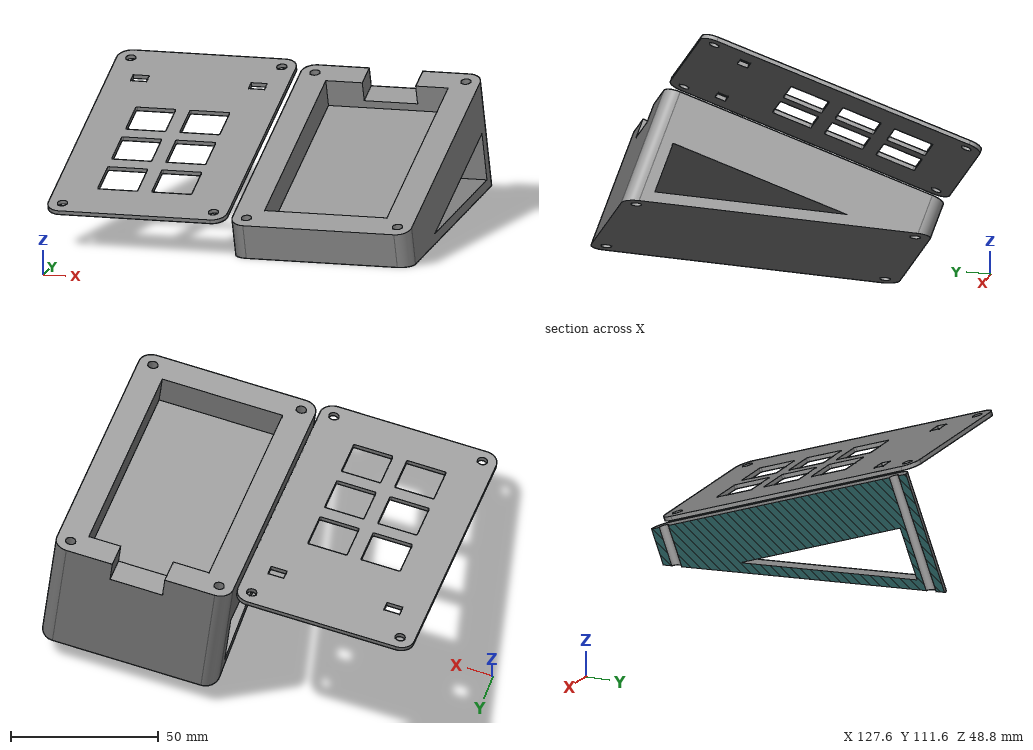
import cadquery as cq
import math


TILT_ANGLE = 20.0
OVERALL_WIDTH = 127.6
WIDTH = 63.0
LENGTH = 102.6
CORNER_RADIUS = 5.0
SCREW_DIAMETER = 3.5
SCREW_INSET = CORNER_RADIUS

PLATE_THICKNESS = 1.5
KEY_SIZE = 14.0
KEY_CORNER_RADIUS = 0.5
KEY_PITCH = 19.0
KEY_COLUMNS = 2
KEY_ROWS = 3
KEYS_LEFT = 14.7
KEYS_FRONT = 15.2
LIGHT_WIDTH = 5.6
LIGHT_LENGTH = 3.7
LEFT_LIGHT_CORNER = (8.5, 83.5)
RIGHT_LIGHT_CORNER = (50.2, 83.0)

CASE_LEFT = OVERALL_WIDTH - WIDTH
FRONT_DEPTH = 13.1
BACK_DEPTH = 43.0
POCKET_WIDTH = 43.0
POCKET_FRONT = 10.2
POCKET_BACK_WALL = 9.6
POCKET_DEPTH = 10.0
NOTCH_LEFT = 22.8
NOTCH_WIDTH = 18.8
NOTCH_DEPTH = 7.1
WINDOW_BACK_WALL = 8.9
WINDOW_ROOF = 18.0
WINDOW_SILL = 3.7


def box(x, y, z, width, length, height):
    """A box given by its left, front, lower corner and its size."""
    return cq.Workplane("XY").box(width, length, height, centered=False).translate((x, y, z))


def rounded_block(bottom, height):
    """The common outline with rounded upright corners."""
    block = box(0, 0, bottom, WIDTH, LENGTH, height)
    return block.edges("|Z").fillet(CORNER_RADIUS)


def screw_holes(bottom, height):
    """Four screw holes, concentric with the rounded corners."""
    return (
        cq.Workplane("XY", origin=(WIDTH / 2, LENGTH / 2, bottom))
        .rect(WIDTH - 2 * SCREW_INSET, LENGTH - 2 * SCREW_INSET, forConstruction=True)
        .vertices()
        .circle(SCREW_DIAMETER / 2)
        .extrude(height)
    )


def side_prism(points):
    """A (Y, Z) profile extruded across the full width."""
    return cq.Workplane("YZ").polyline(points).close().extrude(WIDTH)


def make_plate():
    """Flat cover with a grid of key openings and two small light openings."""
    plate = rounded_block(0, PLATE_THICKNESS).cut(screw_holes(0, PLATE_THICKNESS))
    for column in range(KEY_COLUMNS):
        for row in range(KEY_ROWS):
            x = KEYS_LEFT + column * KEY_PITCH
            y = KEYS_FRONT + row * KEY_PITCH
            opening = box(x, y, 0, KEY_SIZE, KEY_SIZE, PLATE_THICKNESS)
            plate = plate.cut(opening.edges("|Z").fillet(KEY_CORNER_RADIUS))
    for x, y in (LEFT_LIGHT_CORNER, RIGHT_LIGHT_CORNER):
        plate = plate.cut(box(x, y, 0, LIGHT_WIDTH, LIGHT_LENGTH, PLATE_THICKNESS))
    return plate


def make_wedge():
    """The case outline, cut off below by the sloping base."""
    profile = [(0, 0), (LENGTH, 0), (LENGTH, -BACK_DEPTH), (0, -FRONT_DEPTH)]
    return rounded_block(-BACK_DEPTH, BACK_DEPTH).intersect(side_prism(profile))


def make_side_window():
    """Triangular opening with its roof parallel to the top and its sill parallel to the base."""
    base_slope = (BACK_DEPTH - FRONT_DEPTH) / LENGTH
    sill_rise = WINDOW_SILL * math.hypot(1, base_slope)
    sill_start = sill_rise - FRONT_DEPTH
    back = LENGTH - WINDOW_BACK_WALL
    tip = (sill_start + WINDOW_ROOF) / base_slope
    return side_prism([(tip, -WINDOW_ROOF), (back, -WINDOW_ROOF), (back, sill_start - base_slope * back)])


def make_case():
    """Wedge with an open pocket, a cable notch in its back wall and a window through its sides."""
    pocket_length = LENGTH - POCKET_FRONT - POCKET_BACK_WALL
    pocket_left = (WIDTH - POCKET_WIDTH) / 2
    pocket = box(pocket_left, POCKET_FRONT, -POCKET_DEPTH, POCKET_WIDTH, pocket_length, POCKET_DEPTH)
    notch = box(
        NOTCH_LEFT, LENGTH - POCKET_BACK_WALL, -NOTCH_DEPTH, NOTCH_WIDTH, POCKET_BACK_WALL, NOTCH_DEPTH
    )
    case = make_wedge().cut(pocket).cut(notch).cut(make_side_window())
    return case.cut(screw_holes(-BACK_DEPTH, BACK_DEPTH))


def tilt(body):
    """Raise the back edge by turning the body about the X axis."""
    return body.rotate((0, 0, 0), (1, 0, 0), TILT_ANGLE)


plate = tilt(make_plate())
case = tilt(make_case().translate((CASE_LEFT, 0, 0)))

result = cq.Compound.makeCompound([plate.val(), case.val()])